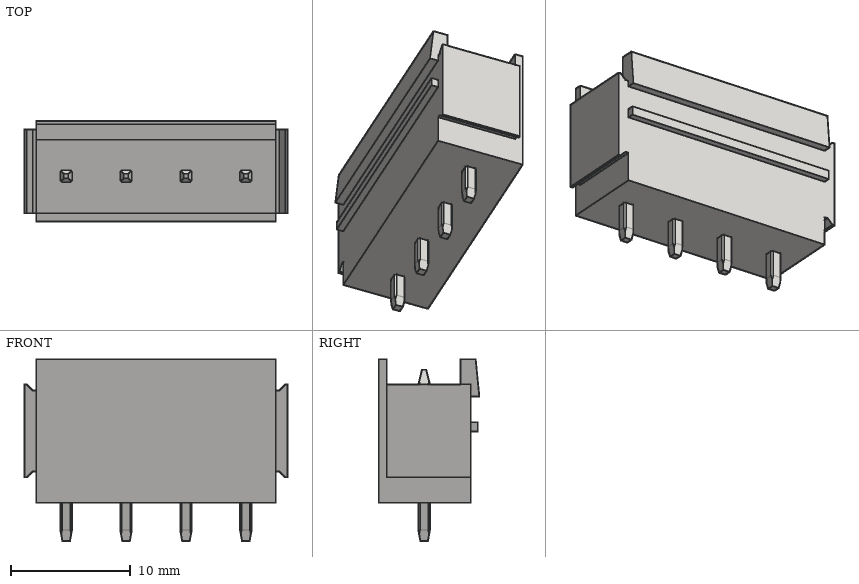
import cadquery as cq

overall_length = 22.0
pin_count = 4

housing_length = 20.0
housing_depth = 7.7
housing_height = 12.0
front_wall = 0.7
back_wall = 0.85
floor_thickness = 3.0

lip_reach = 0.73
lip_top_reach = 0.42
lip_bottom = 8.87

rib_reach = 0.6
rib_height = 0.8
rib_bottom = 5.95

plate_thickness = (overall_length - housing_length) / 2
plate_bottom = 2.11
plate_front = 0.68
plate_top = 9.88
plate_edge = 0.22
plate_bevel_end = 0.7
plate_neck_inset = 0.48

pin_pitch = housing_length / pin_count
pin_y = 3.8
pin_width = 1.0
pin_corner = 0.15
pin_bottom = -3.21
pin_top = 11.1
tail_tip_width = 0.64
tail_taper = 0.95
contact_tip_width = 0.37
contact_taper = 1.25

pin_positions = [(i - (pin_count - 1) / 2) * pin_pitch for i in range(pin_count)]


def make_trough():
    """U-shaped section with the lip, extruded along the whole housing length."""
    section = [
        (0, 0),
        (housing_depth, 0),
        (housing_depth, lip_bottom),
        (housing_depth + lip_reach, lip_bottom),
        (housing_depth + lip_top_reach, housing_height),
        (housing_depth - back_wall, housing_height),
        (housing_depth - back_wall, floor_thickness),
        (front_wall, floor_thickness),
        (front_wall, housing_height),
        (0, housing_height),
    ]
    return cq.Workplane("YZ").polyline(section).close().extrude(housing_length / 2, both=True)


def make_rib():
    """Rectangular rib along the outside of the back wall."""
    rib = cq.Workplane("XY").box(housing_length, rib_reach, rib_height, centered=(True, False, False))
    return rib.translate((0, housing_depth, rib_bottom))


def make_left_plate():
    """End plate with a dovetail section: a narrow neck that flares to a full-height outer face."""
    inner_x = -housing_length / 2
    outer_x = inner_x - plate_thickness
    section = [
        (outer_x, plate_bottom),
        (outer_x + plate_edge, plate_bottom),
        (outer_x + plate_bevel_end, plate_bottom + plate_neck_inset),
        (inner_x, plate_bottom + plate_neck_inset),
        (inner_x, plate_top - plate_neck_inset),
        (outer_x + plate_bevel_end, plate_top - plate_neck_inset),
        (outer_x + plate_edge, plate_top),
        (outer_x, plate_top),
    ]
    plate = cq.Workplane("XZ").polyline(section).close().extrude(-(housing_depth - plate_front))
    return plate.translate((0, plate_front, 0))


def make_pin_blank(x):
    """Square bar with bevelled long edges, the full length of a pin."""
    return (
        cq.Workplane("XY", origin=(x, pin_y, pin_bottom))
        .rect(pin_width, pin_width)
        .extrude(pin_top - pin_bottom)
        .edges("|Z")
        .chamfer(pin_corner)
    )


def make_taper(x, base_z, tip_z, tip_width):
    """Four-sided taper from the full pin width down to a square tip."""
    return (
        cq.Workplane("XY", origin=(x, pin_y, base_z))
        .rect(pin_width, pin_width)
        .workplane(offset=tip_z - base_z)
        .rect(tip_width, tip_width)
        .loft(ruled=True)
    )


def make_pin(x):
    """Pin with a tapered contact at the top and a tapered solder tail below."""
    contact_base = pin_top - contact_taper
    tail_base = pin_bottom + tail_taper
    straight = (
        cq.Workplane("XY", origin=(x, pin_y, tail_base))
        .rect(pin_width, pin_width)
        .extrude(contact_base - tail_base)
    )
    envelope = (
        straight
        .union(make_taper(x, contact_base, pin_top, contact_tip_width))
        .union(make_taper(x, tail_base, pin_bottom, tail_tip_width))
    )
    return make_pin_blank(x).intersect(envelope)


left_plate = make_left_plate()
right_plate = left_plate.mirror("YZ")
housing = make_trough().union(make_rib()).union(left_plate).union(right_plate)

pins = []
for x in pin_positions:
    housing = housing.cut(make_pin_blank(x))
    pins.append(make_pin(x))

result = cq.Compound.makeCompound([housing.val(), *[pin.val() for pin in pins]])